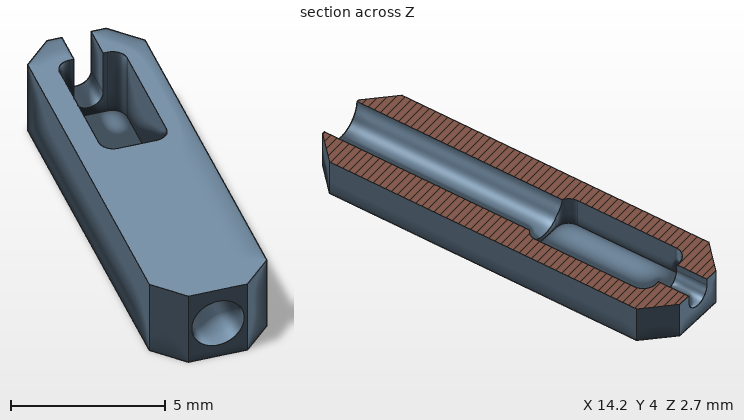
import cadquery as cq

length = 14.2
width = 4.0
height = 2.7
corner_chamfer = 1.0

end_wall = 1.2
pocket_length = 4.9
pocket_width = 2.3
pocket_corner_radius = 0.5
pocket_floor = 0.3
pocket_end = end_wall + pocket_length

slot_width = 1.0
slot_bottom = 0.6

bore_axis_height = height / 2
bore_radius = 0.9


def make_block():
    block = cq.Workplane("XY").box(length, width, height, centered=(False, True, False))
    return block.edges("|Z").chamfer(corner_chamfer)


def make_pocket():
    pocket = (
        cq.Workplane("XY")
        .box(pocket_length, pocket_width, height - pocket_floor, centered=(False, True, False))
        .edges("|Z")
        .fillet(pocket_corner_radius)
    )
    return pocket.translate((end_wall, 0, pocket_floor))


def make_slot():
    slot_radius = slot_width / 2
    slot_length = end_wall + pocket_corner_radius
    return (
        cq.Workplane("YZ")
        .moveTo(-slot_radius, height)
        .lineTo(-slot_radius, slot_bottom + slot_radius)
        .threePointArc((0, slot_bottom), (slot_radius, slot_bottom + slot_radius))
        .lineTo(slot_radius, height)
        .close()
        .extrude(slot_length)
    )


def make_bore():
    bore_start = pocket_end - pocket_corner_radius
    return (
        cq.Workplane("YZ", origin=(bore_start, 0, bore_axis_height))
        .circle(bore_radius)
        .extrude(length - bore_start)
    )


result = make_block().cut(make_pocket()).cut(make_slot()).cut(make_bore())